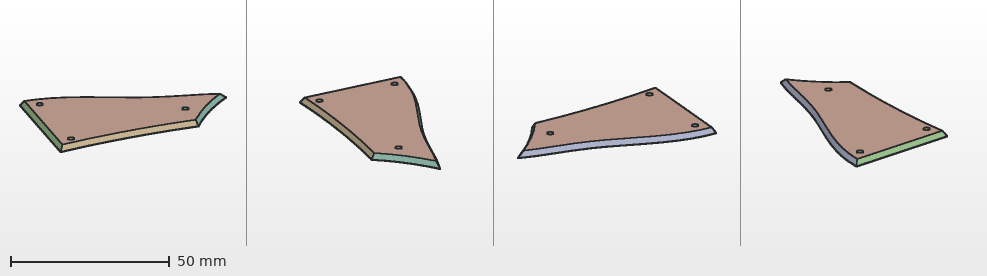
import cadquery as cq
import math

length = 62.7
base_width = 36.0
thickness = 2.0

upright_edge = 0.2
bevel_angle = 30.0
bevel_height = thickness - upright_edge
bevel_inset = bevel_height * math.tan(math.radians(bevel_angle))

left_corner = (0.0, 0.0)
right_corner = (base_width, 0.0)
tip = (17.7, length)
shoulder = (34.05, 47.2)
right_edge_middle = (33.85, 25.7)
top_edge_middle = (24.9, 54.55)

left_edge_points = [left_corner, (1.7, 12.55), (6.1, 25.1), (11.05, 37.6), (14.35, 50.15), tip]
left_edge_start = (0.0, 1.0)
left_edge_end = (0.34, 1.0)

hole_diameter = 2.0
hole_centres = [(5.0, 4.75), (31.65, 5.15), (24.3, 46.5)]


def make_outline():
    """Closed plan outline with a straight base and three curved edges."""
    return (
        cq.Workplane("XY")
        .moveTo(*left_corner)
        .spline(left_edge_points[1:], tangents=[left_edge_start, left_edge_end], includeCurrent=True)
        .threePointArc(top_edge_middle, shoulder)
        .threePointArc(right_edge_middle, right_corner)
        .close()
    )


def make_plate():
    """Flat plate whose whole top rim is bevelled."""
    plate = make_outline().extrude(thickness)
    return plate.faces(">Z").chamfer(bevel_height, bevel_inset)


def make_screw_holes():
    return cq.Workplane("XY").pushPoints(hole_centres).circle(hole_diameter / 2).extrude(thickness)


result = make_plate().cut(make_screw_holes())